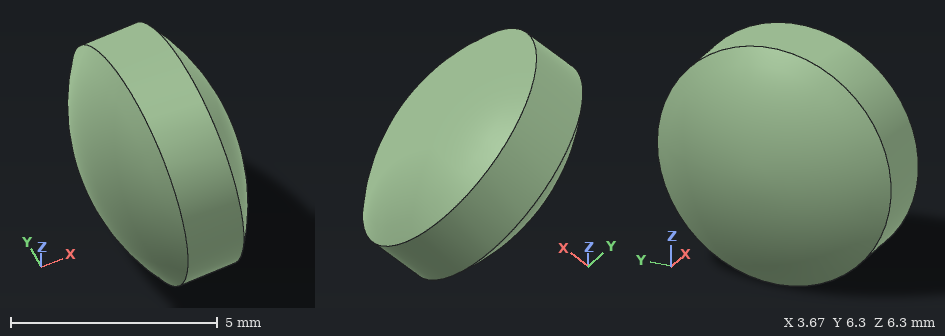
import cadquery as cq

diameter = 6.3
center_thickness = 3.67
rim_thickness = 1.51

radius = diameter / 2
half_center = center_thickness / 2
half_rim = rim_thickness / 2

cap_height = half_center - half_rim
sphere_radius = (radius**2 + cap_height**2) / (2 * cap_height)

arc_offset = radius / 2
arc_drop = sphere_radius - (sphere_radius**2 - arc_offset**2) ** 0.5
arc_x = half_center - arc_drop

half_section = (
    cq.Workplane("XY")
    .moveTo(-half_center, 0)
    .threePointArc((-arc_x, arc_offset), (-half_rim, radius))
    .lineTo(half_rim, radius)
    .threePointArc((arc_x, arc_offset), (half_center, 0))
    .close()
)
result = half_section.revolve(360, (0, 0, 0), (1, 0, 0))